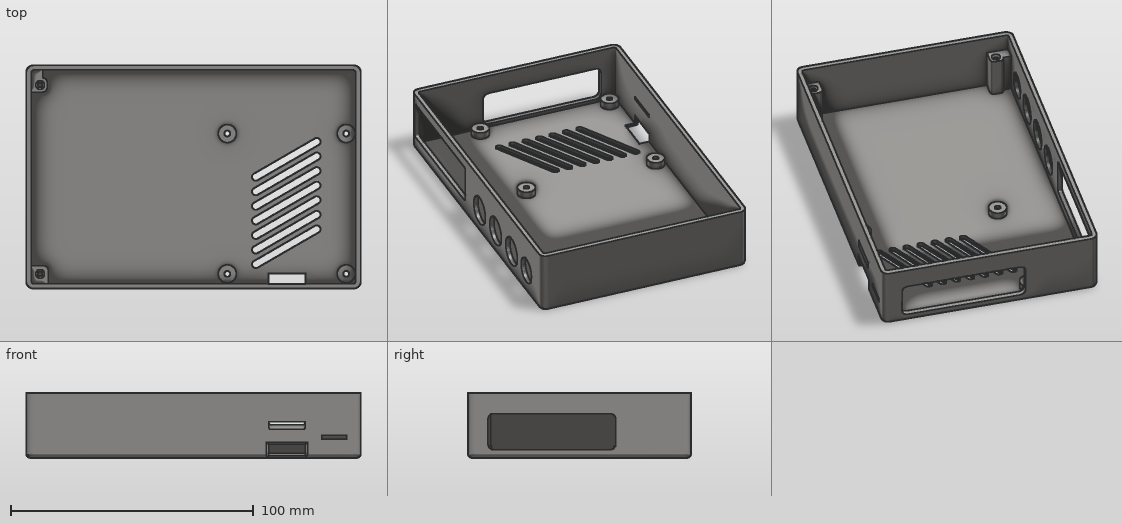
import cadquery as cq

LENGTH = 138.0
WIDTH = 92.0
HEIGHT = 26.9
END_WALL = 2.2
SIDE_WALL = 2.0
FLOOR = 2.0
OUTER_CORNER_RADIUS = 3.0
INNER_CORNER_RADIUS = OUTER_CORNER_RADIUS - SIDE_WALL
BOTTOM_EDGE_RADIUS = 2.0

INNER_BACK = WIDTH - SIDE_WALL
INNER_RIGHT = LENGTH - END_WALL
CUT_MARGIN = 1.4

STANDOFF_DIAMETER = 7.5
STANDOFF_HEIGHT = 3.0
STANDOFF_HOLE = 2.3
STANDOFF_RIGHT_X = 131.9
STANDOFF_FRONT_Y = 6.1
STANDOFF_SPACING_X = 49.0
STANDOFF_SPACING_Y = 57.8

POST_TOP = 19.3
POST_X = 5.8
FRONT_POST_HALF_WIDTH = 3.3
BACK_POST_HALF_WIDTH = 2.9
POST_ROUNDING = 1.8
FRONT_POST_Y = 6.1
BACK_POST_Y = 83.9
BACK_POST_LEG_X = 6.9
SCREW_HOLE = 2.0
SCREW_HOLE_DEPTH = 11.0
SCREW_COUNTERSINK = 3.6

VENT_COUNT = 7
VENT_WIDTH = 3.0
VENT_CENTER_LENGTH = 29.0
VENT_ANGLE = 30.0
VENT_CENTER_X = 107.2
VENT_FIRST_Y = 17.2
VENT_LAST_Y = 53.3
VENT_PITCH = (VENT_LAST_Y - VENT_FIRST_Y) / (VENT_COUNT - 1)

JACK_HOLE_Z = 10.9
SMALL_JACK_DIAMETER = 11.0
SMALL_JACK_X = 16.1
LARGE_JACK_DIAMETER = 12.4
LARGE_JACK_FIRST_X = 31.9
LARGE_JACK_PITCH = 17.0
LARGE_JACK_COUNT = 3

BACK_WINDOW_CORNER = 1.0
BACK_WINDOW_X = (81.0, 134.4)
BACK_WINDOW_Z = (6.3, 22.5)
RIGHT_WINDOW_CORNER = 2.5
RIGHT_WINDOW_Y = (8.3, 61.0)
RIGHT_WINDOW_Z = (3.5, 18.4)

CARD_CENTER_X = 107.5
CARD_WIDTH = 15.2
CARD_TOP = 5.7
CARD_BACK_Y = 6.2
CARD_BEVEL = 1.0

SILL_SLOT_WIDTH = 14.9
SILL_SLOT_TOP = 14.9
SILL_INNER_Z = 13.8
SILL_OUTER_Z = 11.9
SILL_CORNER_RADIUS = 0.5

GROOVE_X = 121.9
GROOVE_WIDTH = 10.4
GROOVE_BOTTOM = 7.7
GROOVE_TOP = 9.4
GROOVE_DEPTH = 1.2


def block(x_range, y_range, z_range):
    """Box spanning the given (low, high) range on each axis."""
    size = [high - low for low, high in (x_range, y_range, z_range)]
    corner = (x_range[0], y_range[0], z_range[0])
    return cq.Workplane("XY").box(*size, centered=False).translate(corner)


def cylinder(diameter, x, y, bottom, top):
    """Upright cylinder between two heights."""
    base = cq.Workplane("XY").workplane(offset=bottom).center(x, y)
    return base.circle(diameter / 2).extrude(top - bottom)


def side_profile_prism(points, x_start, width):
    """Prism along X of a closed outline given as (y, z) points."""
    return cq.Workplane("YZ").workplane(offset=x_start).polyline(points).close().extrude(width)


def tray():
    shell = block((0, LENGTH), (0, WIDTH), (0, HEIGHT))
    shell = shell.edges("|Z").fillet(OUTER_CORNER_RADIUS)
    shell = shell.faces("<Z").edges().fillet(BOTTOM_EDGE_RADIUS)
    cavity = block((END_WALL, INNER_RIGHT), (SIDE_WALL, INNER_BACK), (FLOOR, HEIGHT + CUT_MARGIN))
    return shell.cut(cavity.edges("|Z").fillet(INNER_CORNER_RADIUS))


def add_standoffs(body):
    for x in (STANDOFF_RIGHT_X - STANDOFF_SPACING_X, STANDOFF_RIGHT_X):
        for y in (STANDOFF_FRONT_Y, STANDOFF_FRONT_Y + STANDOFF_SPACING_Y):
            body = body.union(cylinder(STANDOFF_DIAMETER, x, y, FLOOR / 2, FLOOR + STANDOFF_HEIGHT))
            body = body.cut(cylinder(STANDOFF_HOLE, x, y, -CUT_MARGIN, HEIGHT))
    return body


def add_screw_posts(body):
    post_z = (FLOOR / 2, POST_TOP)
    buried = SIDE_WALL / 2

    front_x = (buried, POST_X + FRONT_POST_HALF_WIDTH)
    front_post = block(front_x, (buried, FRONT_POST_Y + FRONT_POST_HALF_WIDTH), post_z)
    front_post = front_post.edges("|Z and >X and >Y").fillet(POST_ROUNDING)

    back_x = (buried, POST_X + BACK_POST_HALF_WIDTH)
    back_y = (BACK_POST_Y - BACK_POST_HALF_WIDTH, BACK_POST_Y + BACK_POST_HALF_WIDTH)
    back_post = block(back_x, back_y, post_z)
    back_post = back_post.edges("|Z and >X").fillet(POST_ROUNDING)
    leg = block((buried, BACK_POST_LEG_X), (BACK_POST_Y, WIDTH - buried), post_z)

    body = body.union(front_post).union(back_post).union(leg)

    for y in (FRONT_POST_Y, BACK_POST_Y):
        screw_hole = (
            cq.Workplane("XY", origin=(POST_X, y, POST_TOP))
            .circle(SCREW_HOLE / 2)
            .extrude(-SCREW_HOLE_DEPTH)
        )
        cone_depth = (SCREW_COUNTERSINK - SCREW_HOLE) / 2
        countersink = (
            cq.Workplane("XY", origin=(POST_X, y, POST_TOP))
            .circle(SCREW_COUNTERSINK / 2)
            .workplane(offset=-cone_depth)
            .circle(SCREW_HOLE / 2)
            .loft(combine=True)
        )
        body = body.cut(screw_hole).cut(countersink)
    return body


def cut_vents(body):
    centers = [(VENT_CENTER_X, VENT_FIRST_Y + i * VENT_PITCH) for i in range(VENT_COUNT)]
    slots = (
        cq.Workplane("XY")
        .workplane(offset=-CUT_MARGIN)
        .pushPoints(centers)
        .slot2D(VENT_CENTER_LENGTH + VENT_WIDTH, VENT_WIDTH, VENT_ANGLE)
        .extrude(FLOOR + 2 * CUT_MARGIN)
    )
    return body.cut(slots)


def cut_back_wall(body):
    jacks = [(SMALL_JACK_X, SMALL_JACK_DIAMETER)]
    for i in range(LARGE_JACK_COUNT):
        jacks.append((LARGE_JACK_FIRST_X + i * LARGE_JACK_PITCH, LARGE_JACK_DIAMETER))
    for x, diameter in jacks:
        bore = cq.Workplane("XZ", origin=(x, WIDTH + CUT_MARGIN, JACK_HOLE_Z))
        body = body.cut(bore.circle(diameter / 2).extrude(SIDE_WALL + CUT_MARGIN))

    window = block(BACK_WINDOW_X, (INNER_BACK, WIDTH + CUT_MARGIN), BACK_WINDOW_Z)
    return body.cut(window.edges("|Y").fillet(BACK_WINDOW_CORNER))


def cut_right_wall(body):
    window = block((INNER_RIGHT, LENGTH + CUT_MARGIN), RIGHT_WINDOW_Y, RIGHT_WINDOW_Z)
    return body.cut(window.edges("|X").fillet(RIGHT_WINDOW_CORNER))


def cut_card_opening(body):
    half = CARD_WIDTH / 2
    left = CARD_CENTER_X - half
    right = CARD_CENTER_X + half
    opening = block((left, right), (-CUT_MARGIN, CARD_BACK_Y), (-CUT_MARGIN, CARD_TOP))

    wide = CARD_WIDTH + 2 * CARD_BEVEL
    front_bevel = (
        cq.Workplane("XZ", origin=(CARD_CENTER_X, 0, 0))
        .rect(wide, 2 * (CARD_TOP + CARD_BEVEL))
        .workplane(offset=-CARD_BEVEL)
        .rect(CARD_WIDTH, 2 * CARD_TOP)
        .loft(combine=True)
    )
    floor_bevel = (
        cq.Workplane("XY", origin=(CARD_CENTER_X, 0, 0))
        .rect(wide, 2 * (CARD_BACK_Y + CARD_BEVEL))
        .workplane(offset=CARD_BEVEL)
        .rect(CARD_WIDTH, 2 * CARD_BACK_Y)
        .loft(combine=True)
    )
    return body.cut(opening).cut(front_bevel).cut(floor_bevel)


def cut_front_slots(body):
    sill_outline = [
        (0, SILL_OUTER_Z),
        (SIDE_WALL, SILL_INNER_Z),
        (SIDE_WALL, SILL_SLOT_TOP),
        (0, SILL_SLOT_TOP),
    ]
    sill_slot = side_profile_prism(sill_outline, CARD_CENTER_X - SILL_SLOT_WIDTH / 2, SILL_SLOT_WIDTH)
    sill_slot = sill_slot.faces("<Z").edges("not |X").fillet(SILL_CORNER_RADIUS)

    groove_outline = [(0, GROOVE_BOTTOM), (GROOVE_DEPTH, GROOVE_BOTTOM), (0, GROOVE_TOP)]
    groove = side_profile_prism(groove_outline, GROOVE_X, GROOVE_WIDTH)
    return body.cut(sill_slot).cut(groove)


result = tray()
result = add_standoffs(result)
result = add_screw_posts(result)
result = cut_vents(result)
result = cut_back_wall(result)
result = cut_right_wall(result)
result = cut_card_opening(result)
result = cut_front_slots(result)